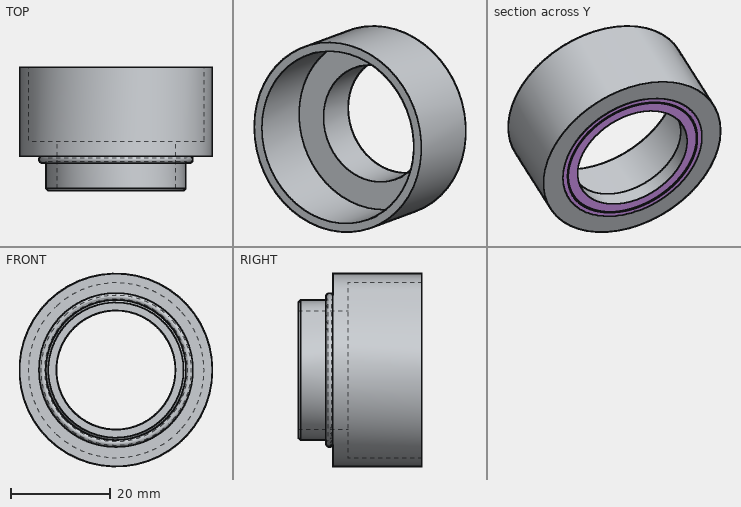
import cadquery as cq

body_diameter = 39.0
body_length = 18.0
overall_length = 25.0
bore_diameter = 24.0
front_bore_length = 10.0
rear_bore_diameter = 35.4
spigot_diameter = 28.3
spigot_chamfer = 0.5
ring_section = 1.5
ring_outer_diameter = 31.1
ring_projection = 1.4

spigot_length = overall_length - body_length
ring_centre_radius = (ring_outer_diameter - ring_section) / 2
ring_centre_y = ring_section / 2 - ring_projection


def cylinder_along_y(diameter, start_y, length):
    """Cylinder on the Y axis, from start_y towards +Y."""
    return (
        cq.Workplane("XZ", origin=(0, start_y, 0))
        .circle(diameter / 2)
        .extrude(-length)
    )


def make_body():
    """Large cylinder whose shoulder lies on Y = 0."""
    return cylinder_along_y(body_diameter, 0, body_length)


def make_spigot():
    """Reduced front end with a chamfered rim."""
    spigot = cylinder_along_y(spigot_diameter, -spigot_length, spigot_length)
    return spigot.faces("<Y").chamfer(spigot_chamfer)


def make_sealing_ring():
    """Round-section ring in the corner of spigot and shoulder."""
    return (
        cq.Workplane("XY")
        .center(-ring_centre_radius, ring_centre_y)
        .circle(ring_section / 2)
        .revolve(360, (ring_centre_radius, 0), (ring_centre_radius, 1))
    )


def make_stepped_bore():
    """Through bore that widens behind the front bore."""
    rear_bore_start = front_bore_length - spigot_length
    rear_bore_length = body_length - rear_bore_start
    bore = cylinder_along_y(bore_diameter, -spigot_length, overall_length)
    return bore.union(cylinder_along_y(rear_bore_diameter, rear_bore_start, rear_bore_length))


solid_part = make_body().union(make_spigot()).union(make_sealing_ring())
result = solid_part.cut(make_stepped_bore())